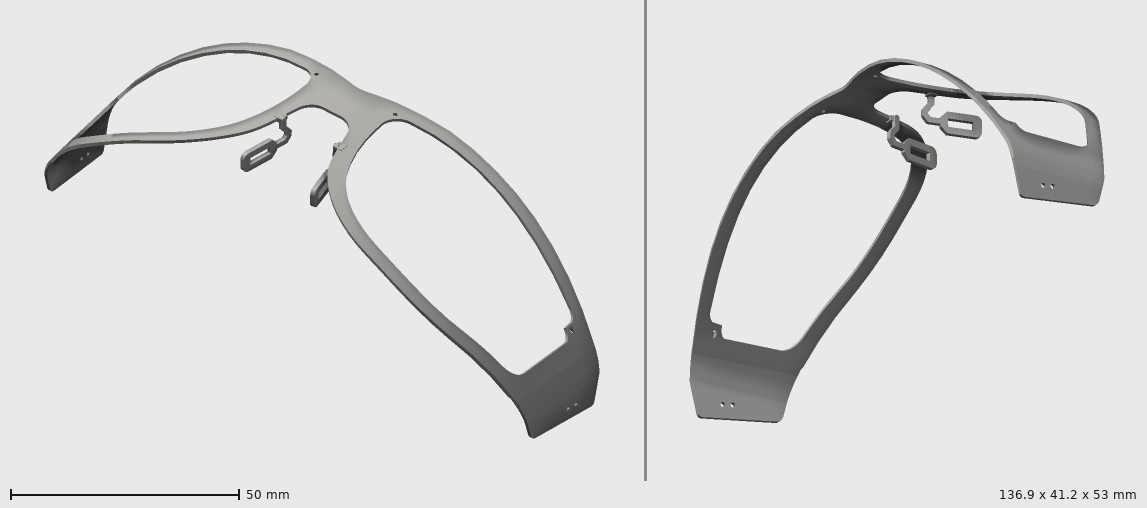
import cadquery as cq
import math

SHEET_THICKNESS = 0.8
CROWN_RADIUS = 75.8
RADIUS_TAPER = 0.105
BEND_START_DEPTH = 38.0
TAB_START_DEPTH = 45.0
SHEET_DEPTH = 60.0
SHEET_HALF_HEIGHT = 25.0
FRAME_TURN = 0.68

BRIDGE_TOP = 16.2
BRIDGE_BOTTOM = 6.4
BROW_POINTS = [
    (4.3, 17.0), (14.3, 19.0), (22.0, 20.2), (31.0, 20.57),
    (40.7, 20.3), (54.0, 18.5), (67.1, 14.9),
]
BROW_DIRECTIONS = [(1, 0), (1, -0.35)]
BROW_END = (72.0, 13.2)
NOSE_ARCH_START = (2.7, BRIDGE_BOTTOM)
NOSE_ARCH_MIDDLE = (5.4, 5.3)
NOSE_ARCH_END = (6.8, 3.2)
CHEEK_POINTS = [
    (8.2, -2.0), (10.6, -8.6), (14.2, -13.1), (20.9, -17.8), (27.5, -20.0),
    (34.0, -20.55), (40.7, -20.5), (47.3, -19.3),
]
CHEEK_LINE_START = (51.5, -17.7)
CHEEK_LINE_END = (72.0, -6.9)

LENS_TOP_INNER = (14.3, 15.6)
LENS_TOP_POINTS = [(22.0, 16.9), (32.0, 17.5), (44.0, 16.8)]
LENS_TOP_OUTER = (59.7, 14.1)
LUG_TOP_MIDDLE = (61.0, 13.5)
LUG_SIDE_TOP = (61.5, 12.2)
LUG_SIDE_BOTTOM = (61.5, 10.2)
LUG_FOOT_MIDDLE = (62.6, 9.6)
LENS_SIDE_TOP = (63.0, 8.4)
LENS_SIDE_BOTTOM = (62.2, -5.0)
LENS_CORNER_MIDDLE = (61.5, -7.6)
LENS_LINE_START = (60.0, -9.4)
LENS_LINE_END = (51.5, -14.1)
LENS_BOTTOM_POINTS = [
    (47.3, -15.9), (40.7, -17.1), (34.0, -17.2), (27.5, -16.5), (20.9, -13.8),
    (15.9, -9.3), (12.65, -3.0), (10.9, 4.0),
]
LENS_NOSE_TOP = (10.4, 11.0)
LENS_NOSE_CORNER = (11.7, 14.0)

TRIM_DEPTH = 36.8
TAB_UPPER_START = 16.0
TAB_UPPER_END = 12.6
TAB_UPPER_END_DEPTH = 52.35
TAB_LOWER_START = -11.2
TAB_LOWER_END = -7.8
TAB_LOWER_END_DEPTH = 49.4
TAB_UPPER_FILLET = 1.0
TAB_LOWER_FILLET = 2.0

RIM_HOLE_DIAMETER = 1.0
TAB_HOLE_DIAMETER = 1.2
NOSE_HOLE = (10.9, 14.9)
LUG_HOLE = (62.9, 11.4)
TAB_HOLES = [(6.7, -48.2), (4.2, -47.8)]

PAD_THICKNESS = 1.1
PAD_LEAN = 11.5
PAD_X = 7.1
PAD_START, PAD_END = -3.7, -13.3
PAD_TOP, PAD_BOTTOM = -4.65, -9.9
PAD_CHAMFER = 1.5
PAD_FILLET = 1.5
SLOT_START, SLOT_END = -5.4, -11.3
SLOT_TOP, SLOT_BOTTOM = -6.3, -8.3
WIRE_WIDTH = 1.3
WIRE_PATH = [(-1.6, -0.8), (-1.6, -3.2), (-0.1, -5.0), (-0.1, -6.1), (-1.0, -7.2), (-4.5, -7.2)]
FOOT_X = (7.2, 9.3)
FOOT_Y = (-2.3, -0.2)
FOOT_Z = (-1.6, -0.4)

LENS_PATCH_ANGLES = (0, 35, 70)
FAR = 100.0
CUT_MARGIN = 0.1
CUT_THICKNESS = SHEET_THICKNESS + 2 * CUT_MARGIN


def mirrored(body):
    """A body joined with its reflection across the YZ plane."""
    return body.union(body.mirror("YZ"))


def flip(point):
    """A point of the XZ plane reflected to the other side."""
    return (-point[0], point[1])


def arc_point(centre, radius, angle):
    """Point of an arc in the XZ plane, its angle measured from +Z toward +X."""
    return (centre[0] + radius * math.sin(angle), centre[1] + radius * math.cos(angle))


def crown_radius(y):
    """Outer radius of the front in the plane at the given y."""
    return CROWN_RADIUS + RADIUS_TAPER * y


def sheet_section(y):
    """Closed section of the bent sheet in the plane at the given y."""
    crown = crown_radius(y)
    crown_centre = (0, -crown)
    start = math.acos(1 - BEND_START_DEPTH / crown)
    end = math.pi / 2
    middle = (start + end) / 2
    bend = (TAB_START_DEPTH - BEND_START_DEPTH) / math.cos(start)
    bend_centre = arc_point(crown_centre, crown - bend, start)

    def right_side(inset):
        """Bend start, bend middle, bend end and tab foot at an inset from the outer face."""
        radius = bend - inset
        bend_points = [arc_point(bend_centre, radius, angle) for angle in (start, middle, end)]
        return bend_points + [(bend_points[2][0], -SHEET_DEPTH)]

    outer_start, outer_middle, outer_end, outer_foot = right_side(0)
    inner_start, inner_middle, inner_end, inner_foot = right_side(SHEET_THICKNESS)
    return (
        cq.Workplane("XZ", origin=(0, y, 0))
        .moveTo(*flip(outer_foot))
        .lineTo(*flip(outer_end))
        .threePointArc(flip(outer_middle), flip(outer_start))
        .threePointArc((0, 0), outer_start)
        .threePointArc(outer_middle, outer_end)
        .lineTo(*outer_foot)
        .lineTo(*inner_foot)
        .lineTo(*inner_end)
        .threePointArc(inner_middle, inner_start)
        .threePointArc((0, -SHEET_THICKNESS), flip(inner_start))
        .threePointArc(flip(inner_middle), flip(inner_end))
        .lineTo(*flip(inner_foot))
        .close()
        .val()
    )


def bent_sheet():
    """Untrimmed sheet from temple to temple."""
    sections = [sheet_section(y) for y in (-SHEET_HALF_HEIGHT, SHEET_HALF_HEIGHT)]
    return cq.Workplane(cq.Solid.makeLoft(sections, True))


def frame_outline():
    """Prism along Z with the outer outline of the frame."""
    half = (
        cq.Workplane("XY", origin=(0, 0, -FAR))
        .moveTo(0, BRIDGE_TOP)
        .spline(BROW_POINTS + [BROW_END], tangents=BROW_DIRECTIONS, includeCurrent=True)
        .lineTo(*CHEEK_LINE_END)
        .lineTo(*CHEEK_LINE_START)
        .spline(CHEEK_POINTS[::-1] + [NOSE_ARCH_END], includeCurrent=True)
        .threePointArc(NOSE_ARCH_MIDDLE, NOSE_ARCH_START)
        .lineTo(0, BRIDGE_BOTTOM)
        .close()
        .extrude(2 * FAR)
    )
    return mirrored(half)


def cutter_base():
    """Surface just inside the right half of the front, carried on past the bend."""
    arcs = []
    for y in (-SHEET_HALF_HEIGHT, SHEET_HALF_HEIGHT):
        centre = (0, -crown_radius(y))
        radius = crown_radius(y) - SHEET_THICKNESS - CUT_MARGIN
        points = [arc_point(centre, radius, math.radians(angle)) for angle in LENS_PATCH_ANGLES]
        arcs.append(cq.Edge.makeThreePointArc(*[cq.Vector(x, y, z) for x, z in points]))
    return cq.Face.makeRuledSurface(*arcs)


def lens_openings():
    """Cutters whose walls stand square to the sheet."""
    right = (
        cq.Workplane("XY", origin=(0, 0, -FAR))
        .moveTo(*LENS_TOP_INNER)
        .spline(LENS_TOP_POINTS + [LENS_TOP_OUTER], includeCurrent=True)
        .threePointArc(LUG_TOP_MIDDLE, LUG_SIDE_TOP)
        .lineTo(*LUG_SIDE_BOTTOM)
        .threePointArc(LUG_FOOT_MIDDLE, LENS_SIDE_TOP)
        .lineTo(*LENS_SIDE_BOTTOM)
        .threePointArc(LENS_CORNER_MIDDLE, LENS_LINE_START)
        .lineTo(*LENS_LINE_END)
        .spline(LENS_BOTTOM_POINTS + [LENS_NOSE_TOP], includeCurrent=True)
        .threePointArc(LENS_NOSE_CORNER, LENS_TOP_INNER)
        .close()
        .extrude(2 * FAR)
    )
    patch = cutter_base().intersect(right.val()).Faces()[0]
    return mirrored(cq.Workplane(patch.thicken(CUT_THICKNESS)))


def tab_outline():
    """Prism along X: open around the front, narrowed to the tab shape below the trim depth."""
    tab = (
        cq.Workplane("YZ", origin=(-FAR, 0, 0))
        .polyline([
            (TAB_UPPER_START, -TRIM_DEPTH),
            (TAB_UPPER_END, -TAB_UPPER_END_DEPTH),
            (TAB_LOWER_END, -TAB_LOWER_END_DEPTH),
            (TAB_LOWER_START, -TRIM_DEPTH),
        ])
        .close()
        .extrude(2 * FAR)
    )
    tab = tab.edges("|X").edges("<<Z[1]").fillet(TAB_LOWER_FILLET)
    tab = tab.edges("|X").edges("<Z").fillet(TAB_UPPER_FILLET)
    front = cq.Workplane("XY", origin=(0, 0, -TRIM_DEPTH)).rect(2 * FAR, 2 * FAR).extrude(FAR)
    return tab.union(front)


def small_holes():
    """Cutters for the rim holes along Z and the tab holes along X."""
    rim = (
        cq.Workplane("XY", origin=(0, 0, -FAR))
        .pushPoints([NOSE_HOLE, LUG_HOLE])
        .circle(RIM_HOLE_DIAMETER / 2)
        .extrude(2 * FAR)
    )
    tab = (
        cq.Workplane("YZ")
        .pushPoints(TAB_HOLES)
        .circle(TAB_HOLE_DIAMETER / 2)
        .extrude(FAR)
    )
    return mirrored(rim.union(tab))


def nose_pad_holders():
    """Slotted plates on bent wires, each joined to the rim by a small foot."""
    pad = (
        cq.Workplane("YZ")
        .moveTo((PAD_START + PAD_END) / 2, (PAD_TOP + PAD_BOTTOM) / 2)
        .rect(PAD_START - PAD_END, PAD_TOP - PAD_BOTTOM)
        .extrude(PAD_THICKNESS / 2, both=True)
        .edges("|X and >Y").chamfer(PAD_CHAMFER)
        .edges("|X and <Y").fillet(PAD_FILLET)
    )
    slot = (
        cq.Workplane("YZ")
        .moveTo((SLOT_START + SLOT_END) / 2, (SLOT_TOP + SLOT_BOTTOM) / 2)
        .rect(SLOT_START - SLOT_END, SLOT_TOP - SLOT_BOTTOM)
        .extrude(PAD_THICKNESS, both=True)
    )
    wire = (
        cq.Workplane("YZ")
        .polyline(WIRE_PATH)
        .offset2D(WIRE_WIDTH / 2)
        .extrude(PAD_THICKNESS / 2, both=True)
    )
    holder = pad.union(wire).cut(slot)
    holder = holder.rotate((0, 0, 0), (0, 0, 1), PAD_LEAN).translate((PAD_X, 0, 0))
    foot_corner = cq.Vector(FOOT_X[0], FOOT_Y[0], FOOT_Z[0])
    foot_size = [high - low for low, high in (FOOT_X, FOOT_Y, FOOT_Z)]
    foot = cq.Workplane("XY").box(*foot_size, centered=False).translate(foot_corner)
    return mirrored(holder.union(foot))


frame = bent_sheet().intersect(frame_outline()).intersect(tab_outline())
frame = frame.cut(lens_openings()).cut(small_holes())
frame = frame.union(nose_pad_holders())
result = frame.rotate((0, 0, 0), (0, 1, 0), FRAME_TURN)